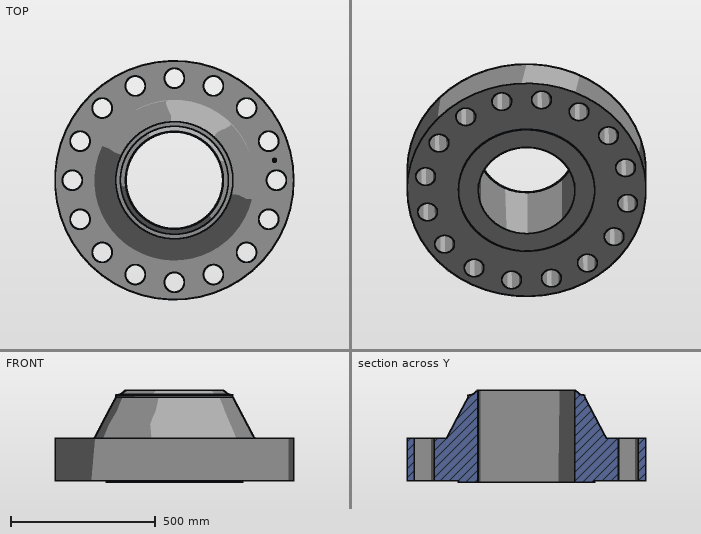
import cadquery as cq

flange_diameter = 825.0
flange_thickness = 148.0
face_diameter = 470.0
face_height = 5.0

bore_diameter = 333.0
hub_base_diameter = 553.0
hub_top_diameter = 404.0
cone_height = 141.0
land_height = 7.5
bevel_base_diameter = 373.0
bevel_top_diameter = 338.0
bevel_height = 14.0
shoulder_rise = 2.5
hub_fillet_radius = 3.0

bolt_count = 16
bolt_circle_diameter = 705.0
bolt_hole_diameter = 68.0
bolt_pitch = 360 / bolt_count
small_hole_diameter = 13.0
small_hole_depth = 25.0
pilot_diameter = 7.0
pilot_depth = 33.0

flange_bottom = face_height
flange_top = flange_bottom + flange_thickness
cone_top = flange_top + cone_height
land_top = cone_top + land_height
bevel_bottom = land_top + shoulder_rise
hub_top = bevel_bottom + bevel_height


def revolved_body():
    """Raised face, flange ring and tapered hub with a filleted foot and bevelled weld end."""
    profile = [
        (bore_diameter / 2, 0),
        (face_diameter / 2, 0),
        (face_diameter / 2, flange_bottom),
        (flange_diameter / 2, flange_bottom),
        (flange_diameter / 2, flange_top),
        (hub_base_diameter / 2, flange_top),
        (hub_top_diameter / 2, cone_top),
        (hub_top_diameter / 2, land_top),
        (bevel_base_diameter / 2, bevel_bottom),
        (bevel_top_diameter / 2, hub_top),
        (bore_diameter / 2, hub_top),
    ]
    body = cq.Workplane("XZ").polyline(profile).close().revolve(360, (0, 0), (0, 1))
    hub_foot = cq.selectors.RadiusNthSelector(-2)
    return body.edges("%CIRCLE").edges(hub_foot).fillet(hub_fillet_radius)


def bolt_holes():
    """Through holes, the first one on the +X axis."""
    return (
        cq.Workplane("XY")
        .workplane(offset=flange_bottom)
        .polarArray(bolt_circle_diameter / 2, 0, 360, bolt_count)
        .circle(bolt_hole_diameter / 2)
        .extrude(flange_thickness)
    )


def blind_hole(diameter, depth):
    """Flat-bottomed hole on the bolt circle, half a pitch from the +X bolt hole."""
    return (
        cq.Workplane("XY")
        .workplane(offset=flange_top)
        .polarArray(bolt_circle_diameter / 2, bolt_pitch / 2, 360, 1)
        .circle(diameter / 2)
        .extrude(-depth)
    )


stepped_hole = blind_hole(small_hole_diameter, small_hole_depth).union(blind_hole(pilot_diameter, pilot_depth))
result = revolved_body().cut(bolt_holes()).cut(stepped_hole)